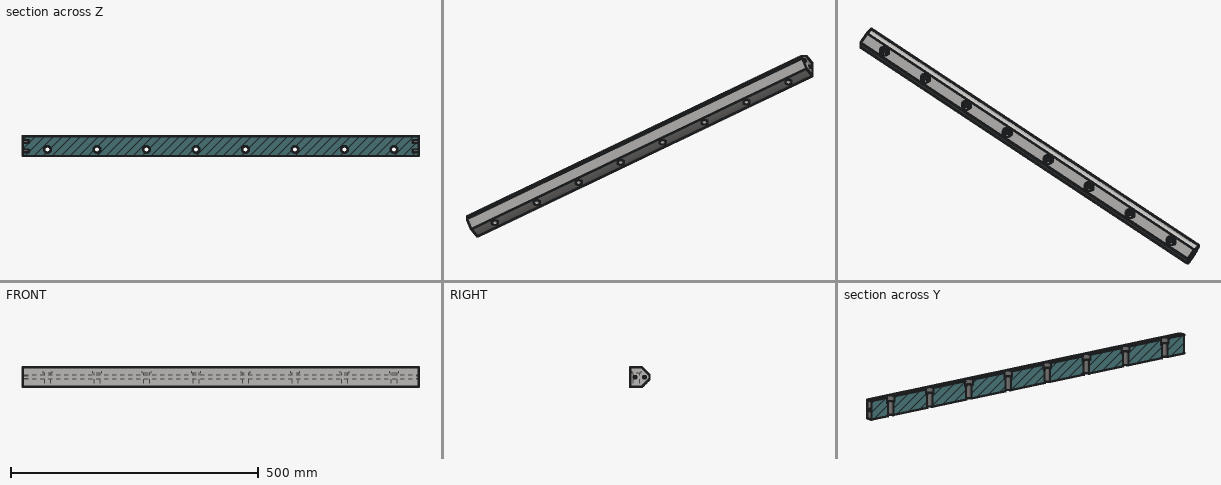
import cadquery as cq

length = 800.0
width = 40.0
height = 40.0
nose_flat = 8.0
nose_depth = (height - nose_flat) / 2
edge_chamfer = 0.9

mount_count = 8
mount_pitch = length / mount_count
mount_diameter = 13.0
counterbore_diameter = 18.0
counterbore_depth = 11.0
mount_offset = 6.8

end_hole_diameter = 5.3
end_hole_depth = 12.0
end_hole_spacing = 19.0

back_y = -width / 2
nose_y = width / 2
shoulder_y = nose_y - nose_depth
top_z = height / 2
end_x = length / 2


def rail_body():
    """Extrude the V-nosed section, then chamfer the back edges and the top and bottom end edges."""
    outline = [
        (back_y, -top_z),
        (shoulder_y, -top_z),
        (nose_y, -nose_flat / 2),
        (nose_y, nose_flat / 2),
        (shoulder_y, top_z),
        (back_y, top_z),
    ]
    body = cq.Workplane("YZ").polyline(outline).close().extrude(end_x, both=True)
    body = body.edges("|Y").chamfer(edge_chamfer)
    return body.faces("<Y").edges().chamfer(edge_chamfer)


def drill_mounting_holes(body):
    """Drill the row of counterbored holes, spaced evenly along the rail."""
    return (
        body.faces(">Z")
        .workplane(origin=(0, -mount_offset, top_z))
        .rarray(mount_pitch, 8, mount_count, 1)
        .cboreHole(mount_diameter, counterbore_diameter, counterbore_depth)
    )


def drill_end_holes(body):
    """Drill the pair of blind holes into both end faces."""
    for end in ("<X", ">X"):
        body = (
            body.faces(end)
            .workplane(origin=(0, 0, 0))
            .rarray(end_hole_spacing, 8, 2, 1)
            .hole(end_hole_diameter, end_hole_depth)
        )
    return body


result = rail_body()
result = drill_mounting_holes(result)
result = drill_end_holes(result)